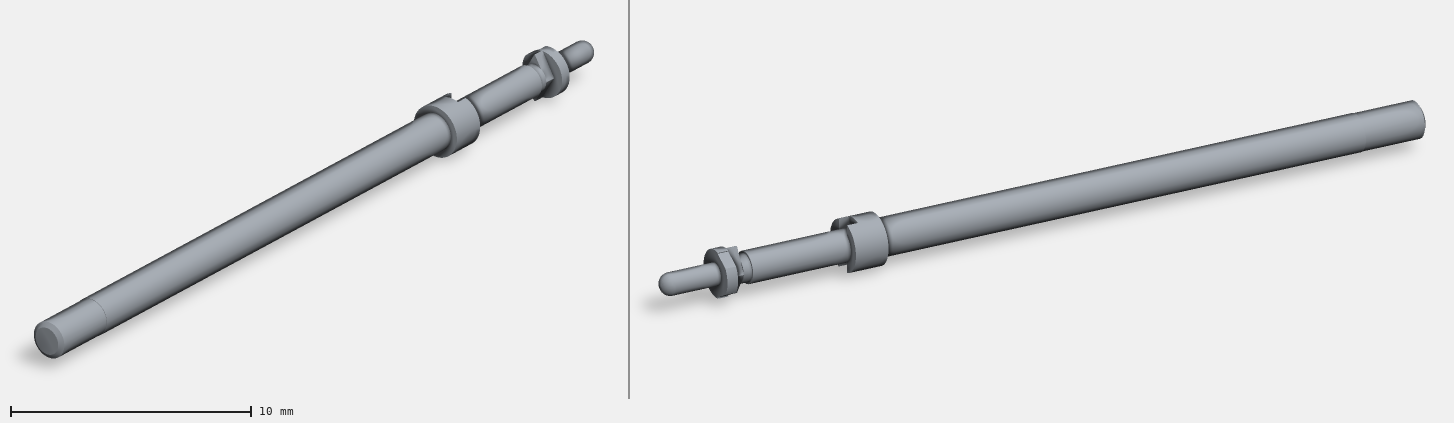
import cadquery as cq
import math

length = 35.6
tip_end = length / 2

tip_diameter = 1.0
flange_diameter = 2.15
neck_diameter = 1.25
shank_diameter = 1.42
collar_diameter = 2.3
barrel_diameter = 1.67
tail_diameter = 1.65

tip_length = 2.6
flange_thickness = 0.5
key_length = 0.5
flange_end = tip_length + flange_thickness
key_end = flange_end + key_length
neck_end = 4.0
collar_start = 8.58
collar_end = 10.1
tail_length = 2.92
tail_start = length - tail_length

tip_fillet = 0.45
tail_bevel_radial = 0.2
tail_bevel_axial = 0.15

key_half_width = 0.65
key_flat_angle = math.radians(30)

notch_floor_distance = 0.95
notch_wall_offset = 0.338
notch_tilt = 30

slot_width = 0.75
slot_depth = 0.5


def section(diameter, start, end):
    """Solid cylinder on the pin axis between two distances from the tip."""
    return extrude_back(cq.Workplane("XZ").circle(diameter / 2), start, end)


def extrude_back(profile, start, end):
    """Extrude an XZ profile away from the tip and put it in place."""
    return profile.extrude(end - start).translate((0, tip_end - start, 0))


def make_tip():
    return section(tip_diameter, 0, tip_length).faces(">Y").edges().fillet(tip_fillet)


def make_flange():
    """Disc with two one-sided notches on its -X half, mirrored about Z = 0."""
    flange = section(flange_diameter, tip_length, flange_end)
    profile = cq.Workplane("XZ").moveTo(notch_wall_offset, notch_floor_distance).rect(
        -flange_diameter, flange_diameter, centered=False
    )
    upper_notch = extrude_back(profile, tip_length, flange_end)
    upper_notch = upper_notch.rotate((0, 0, 0), (0, 1, 0), -notch_tilt)
    return flange.cut(upper_notch).cut(upper_notch.mirror("XY"))


def make_key():
    """Diamond whose sharp ends are trimmed to the flange diameter."""
    half_height = key_half_width / math.tan(key_flat_angle)
    corners = [(key_half_width, 0), (0, half_height), (-key_half_width, 0), (0, -half_height)]
    diamond = extrude_back(cq.Workplane("XZ").polyline(corners).close(), flange_end, key_end)
    return diamond.intersect(section(flange_diameter, flange_end, key_end))


def make_collar():
    """Collar with a slot across it in Z, open towards the tip."""
    slot_end = collar_start + slot_depth
    slot = extrude_back(
        cq.Workplane("XZ").rect(slot_width, collar_diameter), collar_start, slot_end
    )
    return section(collar_diameter, collar_start, collar_end).cut(slot)


def make_tail():
    tail = section(tail_diameter, tail_start, length)
    return tail.faces("<Y").chamfer(tail_bevel_axial, tail_bevel_radial)


result = (
    make_tip()
    .union(make_flange())
    .union(make_key())
    .union(section(neck_diameter, key_end, neck_end))
    .union(section(shank_diameter, neck_end, collar_end))
    .union(make_collar())
    .union(section(barrel_diameter, collar_end, tail_start))
    .union(make_tail())
)